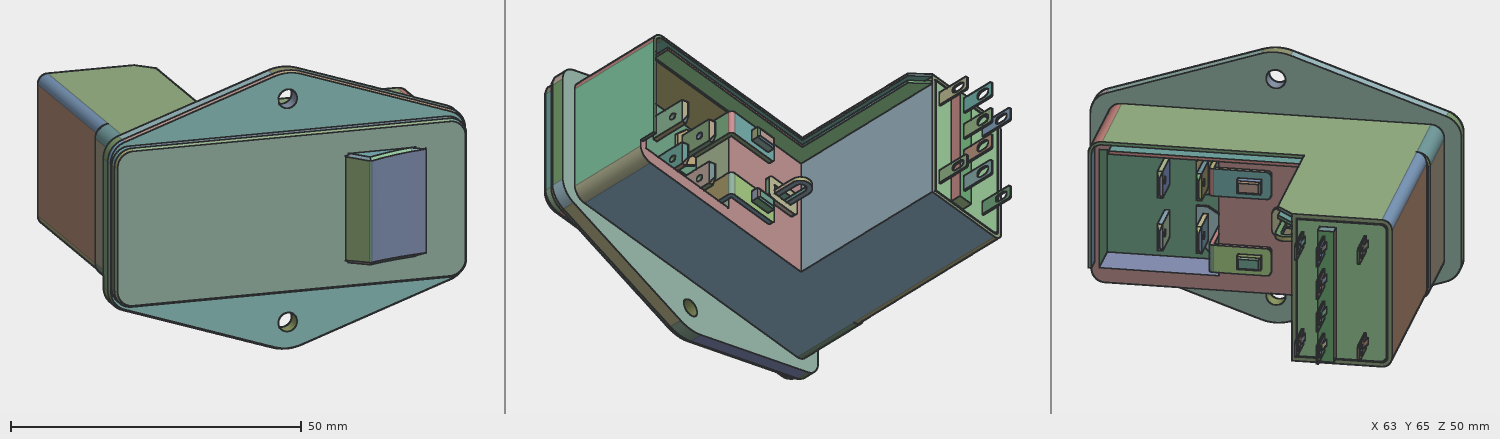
import cadquery as cq
import math

far = 65.0


flange_length = 65.0
flange_height = 50.0
flange_thickness = 3.05
flange_slope = 18.8
flange_tip_radius = 8.0
flange_corner_radius = 3.95
flange_chamfer_depth = 0.65
flange_chamfer_width = 0.3
screw_hole_diameter = 3.4
screw_hole_z = 20.0

bezel_length = 63.95
bezel_height = 28.5
bezel_thickness = 2.0
bezel_corner_radius = 3.1
bezel_chamfer_depth = 0.6
bezel_chamfer_width = 0.4
bezel_front_x = flange_thickness + bezel_thickness

body_height = 27.2
body_half_height = body_height / 2
body_left_y = 29.45
front_block_right_y = -29.5
front_block_rear_x = -13.6
front_block_corner_radius = 2.4
front_block_chamfer = 0.3
leg_step = 0.6
leg_right_y = front_block_right_y + leg_step
leg_left_y = -11.4
leg_rear_x = -46.1
leg_corner_radius = front_block_corner_radius - leg_step
inlet_rear_x = -15.4

lip_rear_x = -18.45
lip_thickness = 0.6
top_lip_left_y = -8.4
plate_chamfer = top_lip_left_y - leg_left_y
side_lip_bottom_z = -9.9
inner_plate_top_z = 11.95
inner_plate_left_y = 25.9

recess_left_y = 28.1
recess_right_y = 7.1
recess_half_height = 10.9
recess_floor_x = -7.8
blade_thickness = 0.9
blade_width = 4.95
blade_rear_x = -15.6
blade_z = 4.9
blade_taper_length = 1.0
blade_tip_thickness = 0.25
blade_tip_width = 3.1
blade_hole_diameter = 1.3
blade_hole_from_tip = 3.25
outer_blade_y = 17.55
inner_blade_y = 10.7

strip_rear_x = -17.4
strip_thickness = 0.85
strip_left_y = 8.5
strip_right_y = -2.4
strip_inner_z = 4.55
strip_outer_z = 9.55
strip_corner_radius = 0.8
strip_bend_radius = 0.8
stud_left_y = 3.4
stud_right_y = -0.8
stud_inner_z = 5.85
stud_outer_z = 8.2
stud_height = 1.7
stud_chamfer = 0.3
foot_thickness = 0.5
foot_left_y = 12.35
foot_top_left_y = 10.0
foot_shoulder_z = 7.1
foot_inner_z = 1.1
foot_bottom_y = 10.4
foot_side_bottom_z = 2.85

boss_center_y = -5.9
boss_length = 7.15
boss_height = 5.0
boss_corner_radius = 1.0
boss_rise = 0.85
ground_center_y = -5.8
ground_width = 4.0
ground_rim = 1.0
ground_thickness = 0.85
ground_bottom_z = -1.0
ground_slot_height = 1.95
ground_rear_x = -22.4

socket_wall = 0.8
socket_front_x = lip_rear_x
socket_corner_radius = 1.05
block_gap = 0.2
rib_left_y = -16.25
rib_right_y = -19.1
rib_top_z = 11.6
rib_bottom_z = -12.55
rib_rear_x = -48.1
lug_length = 6.5
lug_thickness = 0.3
lug_slot_length = 2.6
lug_slot_from_tip = 0.8
lug_corner_chamfer = 0.25
lug_tongue_length = 2.15
lug_tongue_width = 1.25
lug_tongue_rise = 0.3
center_lug_width = 3.25
center_lug_slot_width = 1.9
side_lug_width = 2.85
side_lug_slot_width = 1.55
center_lug_y = -17.35
side_lug_ys = (-13.25, -24.25)
outer_lug_z = 9.0
inner_lug_z = 3.0

rocker_half_width = 9.8
rocker_crest_half_width = 9.6
rocker_top_y = 24.45
rocker_bottom_y = 9.8
rocker_crest_x = 8.45
rocker_crest_y = 13.25
rocker_sag_x = 6.2
rocker_sag_y = 19.3
rocker_edge_chamfer = 0.5
rocker_crest_radius = 0.4


def box(x0, x1, y0, y1, z0, z1):
    """Box between two corners."""
    return cq.Workplane("XY").box(x1 - x0, y1 - y0, z1 - z0, centered=False).translate((x0, y0, z0))


def rounded_bar(x0, x1, y0, y1, z0, z1, radius):
    """Box with the edges along X rounded."""
    return box(x0, x1, y0, y1, z0, z1).edges("|X").fillet(radius)


def flange():
    slope = math.radians(flange_slope)
    tip_z = flange_height / 2 + flange_tip_radius * (1 / math.cos(slope) - 1)
    half_length = flange_length / 2
    corner_z = tip_z - half_length * math.tan(slope)
    outline = [
        (half_length, corner_z), (0, tip_z), (-half_length, corner_z),
        (-half_length, -corner_z), (0, -tip_z), (half_length, -corner_z),
    ]
    plate = cq.Workplane("YZ").polyline(outline).close().extrude(flange_thickness)
    for corner_y, radius in (
        (0, flange_tip_radius), (half_length, flange_corner_radius), (-half_length, flange_corner_radius),
    ):
        corners = cq.selectors.BoxSelector((-0.65, corner_y - 0.65, -far), (flange_thickness, corner_y + 0.65, far))
        plate = plate.edges("|X").edges(corners).fillet(radius)
    plate = plate.faces(">X").chamfer(flange_chamfer_depth, flange_chamfer_width)
    holes = (
        cq.Workplane("YZ").pushPoints([(0, screw_hole_z), (0, -screw_hole_z)])
        .circle(screw_hole_diameter / 2).extrude(flange_thickness)
    )
    return plate.cut(holes)


def body_bar(rear_x):
    """Full-height bar behind the flange with its rounded corners."""
    return rounded_bar(
        rear_x, 0, front_block_right_y, body_left_y,
        -body_half_height, body_half_height, front_block_corner_radius,
    )


def leg():
    bar = box(leg_rear_x, 0, leg_right_y, leg_left_y, -body_half_height, body_half_height)
    return bar.edges("|X and <Y").fillet(leg_corner_radius)


def overhang_plate(left_y, top_z):
    """L-shaped plate that overhangs both the inlet and the leg."""
    leg_inside_y = leg_left_y - socket_wall
    outline = [
        (inlet_rear_x, left_y), (lip_rear_x, left_y), (lip_rear_x, top_lip_left_y),
        (leg_rear_x + plate_chamfer, top_lip_left_y), (leg_rear_x, leg_left_y),
        (leg_rear_x, leg_inside_y), (inlet_rear_x, leg_inside_y),
    ]
    return (
        cq.Workplane("XY").workplane(offset=top_z - lip_thickness)
        .polyline(outline).close().extrude(lip_thickness)
    )


def side_lip():
    """Thin lip around the +Y end of the inlet, joining the top plate round the corner."""
    skin = body_bar(lip_rear_x).cut(rounded_bar(
        lip_rear_x, inlet_rear_x, front_block_right_y, body_left_y - lip_thickness,
        -body_half_height, body_half_height - lip_thickness, front_block_corner_radius - lip_thickness,
    ))
    corner_y = body_left_y - front_block_corner_radius
    return skin.intersect(box(lip_rear_x, inlet_rear_x, corner_y, body_left_y, side_lip_bottom_z, body_half_height))


def socket(gap):
    """Volume inside the leg walls, reduced all round by a gap."""
    bar = box(
        leg_rear_x, socket_front_x,
        leg_right_y + socket_wall + gap, leg_left_y - socket_wall - gap,
        -body_half_height + socket_wall + gap, body_half_height - socket_wall - gap,
    )
    return bar.edges("|X and <Y").fillet(socket_corner_radius)


def tapered_outline(plane, width, tip_width):
    """Blade outline on a plane through X, narrowed towards the rear tip."""
    shoulder_x = blade_rear_x + blade_taper_length
    half = [
        (recess_floor_x, width / 2), (shoulder_x, width / 2), (blade_rear_x, tip_width / 2),
    ]
    mirrored = [(x, -across) for x, across in reversed(half)]
    return cq.Workplane(plane).polyline(half + mirrored).close()


def blade(y, z):
    """Contact blade standing on the recess floor, with a bevelled tip and a cross hole."""
    edge_view = tapered_outline("XY", blade_thickness, blade_tip_thickness).extrude(blade_width, both=True)
    side_view = tapered_outline("XZ", blade_width, blade_tip_width).extrude(blade_thickness, both=True)
    hole = (
        cq.Workplane("XZ").center(blade_rear_x + blade_hole_from_tip, 0)
        .circle(blade_hole_diameter / 2).extrude(blade_thickness, both=True)
    )
    return edge_view.intersect(side_view).cut(hole).translate((0, y, z))


def make_housing():
    front_block = body_bar(front_block_rear_x).faces("<X").chamfer(front_block_chamfer)
    inlet = body_bar(inlet_rear_x).intersect(
        box(inlet_rear_x, 0, leg_right_y + leg_corner_radius, body_left_y, -body_half_height, body_half_height)
    )
    boss = rounded_bar(
        inlet_rear_x - boss_rise, inlet_rear_x,
        boss_center_y - boss_length / 2, boss_center_y + boss_length / 2,
        -boss_height / 2, boss_height / 2, boss_corner_radius,
    )
    slot = box(
        inlet_rear_x - boss_rise, recess_floor_x,
        ground_center_y - ground_width / 2, ground_center_y + ground_width / 2,
        ground_bottom_z, ground_bottom_z + ground_slot_height,
    )
    recess = box(
        inlet_rear_x, recess_floor_x, recess_right_y, recess_left_y, -recess_half_height, recess_half_height,
    )
    top_plate = overhang_plate(body_left_y - front_block_corner_radius, body_half_height)
    inner_plate = overhang_plate(inner_plate_left_y, inner_plate_top_z)
    housing = flange().union(front_block).union(inlet).union(leg())
    housing = housing.union(top_plate).union(inner_plate).union(side_lip()).union(boss)
    housing = housing.cut(recess).cut(slot).cut(socket(0))
    for side in (1, -1):
        housing = housing.union(blade(outer_blade_y, side * blade_z))
    return housing


def make_rocker():
    outline = (
        cq.Workplane("XY").workplane(offset=-rocker_half_width)
        .moveTo(flange_thickness, rocker_bottom_y).lineTo(bezel_front_x, rocker_bottom_y)
        .lineTo(rocker_crest_x, rocker_crest_y)
        .threePointArc((rocker_sag_x, rocker_sag_y), (bezel_front_x, rocker_top_y))
        .lineTo(flange_thickness, rocker_top_y).close()
    )
    taper = (
        cq.Workplane("XZ").workplane(offset=-rocker_top_y)
        .polyline([
            (flange_thickness, rocker_half_width), (bezel_front_x, rocker_half_width),
            (rocker_crest_x, rocker_crest_half_width), (rocker_crest_x, -rocker_crest_half_width),
            (bezel_front_x, -rocker_half_width), (flange_thickness, -rocker_half_width),
        ])
        .close().extrude(rocker_top_y - rocker_bottom_y)
    )
    rocker = outline.extrude(2 * rocker_half_width).intersect(taper)
    rim = cq.selectors.BoxSelector(
        (bezel_front_x + 0.05, rocker_bottom_y, -far), (rocker_crest_x + 0.65, rocker_top_y, far))
    rocker = rocker.edges("not |Z").edges(rim).chamfer(rocker_edge_chamfer)
    return rocker.edges("|Z and >X").fillet(rocker_crest_radius)


def make_bezel(rocker):
    half_length = bezel_length / 2
    half_height = bezel_height / 2
    bezel = rounded_bar(
        flange_thickness, bezel_front_x, -half_length, half_length, -half_height, half_height, bezel_corner_radius,
    )
    return bezel.faces(">X").chamfer(bezel_chamfer_depth, bezel_chamfer_width).cut(rocker)


def lug(base_x, y, z, width, slot_width):
    """Solder lug with a slotted eye and a raised wedge tongue at its root."""
    tip_x = base_x - lug_length
    plate = box(
        tip_x, base_x, y - lug_thickness / 2, y + lug_thickness / 2, z - width / 2, z + width / 2,
    ).edges("|Y and <X").chamfer(lug_corner_chamfer)
    eye = (
        cq.Workplane("XZ").center(tip_x + lug_slot_from_tip + lug_slot_length / 2, z)
        .slot2D(lug_slot_length, slot_width).extrude(lug_thickness, both=True).translate((0, y, 0))
    )
    face_y = y - lug_thickness / 2
    tongue = (
        cq.Workplane("XY").workplane(offset=z - lug_tongue_width / 2)
        .polyline([(base_x - lug_tongue_length, face_y), (base_x, face_y), (base_x, face_y - lug_tongue_rise)])
        .close().extrude(lug_tongue_width)
    )
    return plate.cut(eye).union(tongue)


def make_terminal_block():
    rib = box(rib_rear_x, leg_rear_x, rib_right_y, rib_left_y, rib_bottom_z, rib_top_z)
    block = socket(block_gap).union(rib)
    for z in (-outer_lug_z, -inner_lug_z, inner_lug_z, outer_lug_z):
        block = block.union(lug(rib_rear_x, center_lug_y, z, center_lug_width, center_lug_slot_width))
    for y in side_lug_ys:
        for z in (-outer_lug_z, outer_lug_z):
            block = block.union(lug(leg_rear_x, y, z, side_lug_width, side_lug_slot_width))
    return block


def make_strip_terminal():
    """Upper terminal: foot on the recess floor, blade, bent riser and strip with a raised stud."""
    strip = box(
        strip_rear_x, strip_rear_x + strip_thickness, strip_right_y, strip_left_y, strip_inner_z, strip_outer_z,
    ).edges("|X and <Y").fillet(strip_corner_radius)
    riser = box(
        strip_rear_x, recess_floor_x, strip_left_y - strip_thickness, strip_left_y, strip_inner_z, strip_outer_z,
    )
    bent = strip.union(riser).edges("|Z and <X and >Y").fillet(strip_bend_radius)
    stud = box(
        strip_rear_x - stud_height, strip_rear_x, stud_right_y, stud_left_y, stud_inner_z, stud_outer_z,
    ).faces("<X").chamfer(stud_chamfer)
    foot_right_y = strip_left_y - strip_thickness
    foot_outline = [
        (foot_right_y, strip_outer_z), (foot_top_left_y, strip_outer_z), (foot_left_y, foot_shoulder_z),
        (foot_left_y, foot_inner_z), (foot_bottom_y, foot_inner_z), (foot_right_y, foot_side_bottom_z),
    ]
    foot = (
        cq.Workplane("YZ").workplane(offset=recess_floor_x - foot_thickness)
        .polyline(foot_outline).close().extrude(foot_thickness)
    )
    return bent.union(stud).union(foot).union(blade(inner_blade_y, blade_z))


def ground_tongue(front_x, rear_x, width):
    """Flat tongue with a round rear end."""
    left_y = ground_center_y + width / 2
    right_y = ground_center_y - width / 2
    round_x = rear_x + width / 2
    return (
        cq.Workplane("XY").workplane(offset=ground_bottom_z)
        .moveTo(front_x, right_y).lineTo(round_x, right_y)
        .threePointArc((rear_x, ground_center_y), (round_x, left_y))
        .lineTo(front_x, left_y).close().extrude(ground_thickness)
    )


def make_ground_terminal():
    eye = ground_tongue(inlet_rear_x, ground_rear_x + ground_rim, ground_width - 2 * ground_rim)
    return ground_tongue(recess_floor_x, ground_rear_x, ground_width).cut(eye)


housing = make_housing()
rocker = make_rocker()
bezel = make_bezel(rocker)
terminal_block = make_terminal_block()
upper_strip = make_strip_terminal()
lower_strip = upper_strip.mirror("XY")
ground_terminal = make_ground_terminal()

result = cq.Compound.makeCompound([
    housing.val(),
    bezel.val(),
    rocker.val(),
    terminal_block.val(),
    upper_strip.val(),
    lower_strip.val(),
    ground_terminal.val(),
])